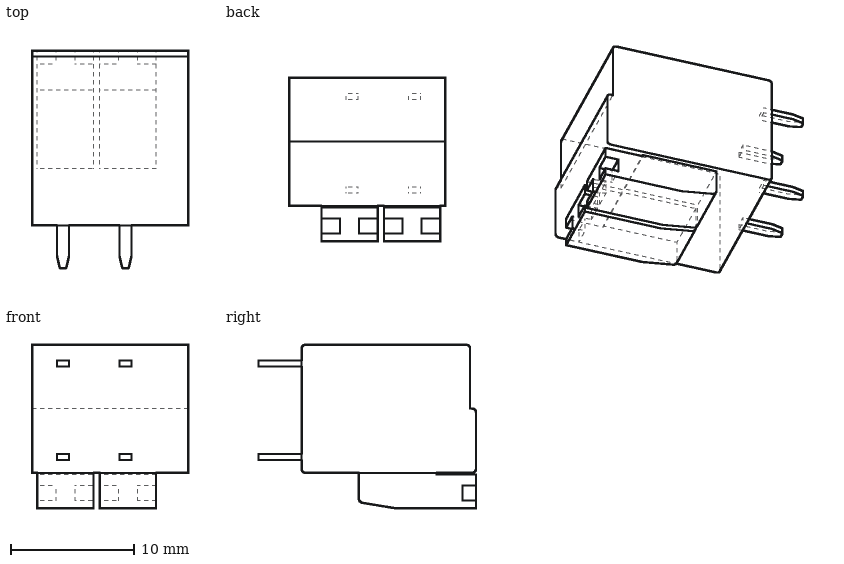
import cadquery as cq


overall_length = 17.69
overall_height = 13.3

body_width = 12.7
body_length = 14.19
body_height = 10.42
step_depth = 0.48
step_height = 5.24
body_fillet = 0.32

pole_count = 2
pole_pitch = 5.08
first_pole_x = 2.51

pin_width = 0.99
pin_thickness = 0.51
pin_length = overall_length - body_length
pin_heights = (1.3, 8.9)
pin_taper_length = 0.99
pin_tip_width = 0.53
pin_tip_fillet = 0.15

lever_left_offset = 2.1
lever_width = 4.6
lever_length = 9.55
lever_depth = overall_height - body_height
lever_slope_length = 2.99
lever_slope_rise = 0.5
lever_fillet = 0.4
gap_length = 3.2
gap_height = 0.12
notch_length = 1.1
notch_top = -1.05
notch_bottom = -2.25
notch_side_depth = lever_width / 3


def make_body():
    """Housing: a stepped profile with its outer corners rounded."""
    upper_rear = body_length - step_depth
    profile = [
        (0, 0),
        (body_length, 0),
        (body_length, step_height),
        (upper_rear, step_height),
        (upper_rear, body_height),
        (0, body_height),
    ]
    body = cq.Workplane("YZ").polyline(profile).close().extrude(body_width)
    return body.edges("|X and (<Y or >Y or >Z)").fillet(body_fillet)


def make_pin(center_x, center_z):
    """Flat pin pointing toward -Y, tapered to a blunt, rounded tip."""
    half_outline = [
        (pin_width / 2, 0),
        (pin_width / 2, pin_taper_length - pin_length),
        (pin_tip_width / 2, -pin_length),
    ]
    mirrored = [(-x, y) for x, y in reversed(half_outline)]
    return (
        cq.Workplane("XY")
        .polyline(half_outline + mirrored)
        .close()
        .extrude(pin_thickness / 2, both=True)
        .edges("|Z and <Y")
        .fillet(pin_tip_fillet)
        .translate((center_x, 0, center_z))
    )


def make_lever(left_x):
    """Lever under the housing, sloped at the front and notched at both rear sides."""
    front_y = body_length - lever_length
    gap_front_y = body_length - gap_length
    profile = [
        (front_y, 0),
        (gap_front_y, 0),
        (gap_front_y, -gap_height),
        (body_length, -gap_height),
        (body_length, -lever_depth),
        (front_y + lever_slope_length, -lever_depth),
        (front_y, -lever_depth + lever_slope_rise),
    ]
    lever = cq.Workplane("YZ").polyline(profile).close().extrude(lever_width)
    front_lower_edge = cq.selectors.NearestToPointSelector(
        (lever_width / 2, front_y, -lever_depth + lever_slope_rise)
    )
    lever = lever.edges("|X").edges(front_lower_edge).fillet(lever_fillet)

    notch = cq.Workplane("XY").box(
        notch_side_depth, notch_length, notch_top - notch_bottom, centered=False
    ).translate((0, body_length - notch_length, notch_bottom))
    opposite_notch = notch.translate((lever_width - notch_side_depth, 0, 0))
    return lever.cut(notch).cut(opposite_notch).translate((left_x, 0, 0))


result = make_body()
for pole in range(pole_count):
    pole_x = first_pole_x + pole * pole_pitch
    for pin_z in pin_heights:
        result = result.union(make_pin(pole_x, pin_z))
    result = result.union(make_lever(pole_x - lever_left_offset))